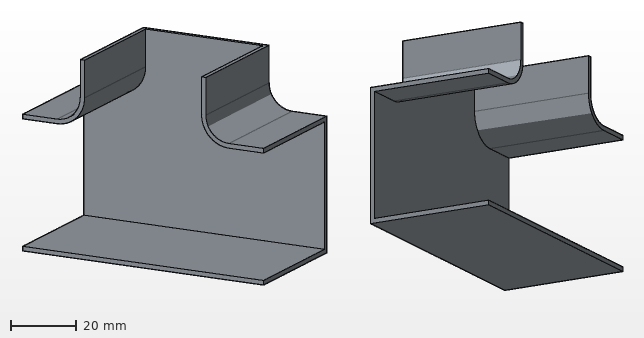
import cadquery as cq

length = 83.6
depth = 41.7
run_height = 43.6
branch_width = 43.6
branch_rise = 20.0
wall = 1.5
elbow_radius = 8.0

height = run_height + branch_rise
half_length = length / 2


def tee_prism(inset, back):
    """Solid tee from y = 0 to y = back, its outer skin moved inward by inset."""
    half_branch = branch_width / 2 - inset
    shoulder = run_height - inset
    radius = elbow_radius + inset
    return (
        cq.Workplane("XZ")
        .moveTo(-half_length, inset)
        .lineTo(half_length, inset)
        .lineTo(half_length, shoulder)
        .lineTo(half_branch + radius, shoulder)
        .radiusArc((half_branch, shoulder + radius), radius)
        .lineTo(half_branch, height)
        .lineTo(-half_branch, height)
        .lineTo(-half_branch, shoulder + radius)
        .radiusArc((-half_branch - radius, shoulder), radius)
        .lineTo(-half_length, shoulder)
        .close()
        .extrude(-back)
    )


outer_tee = tee_prism(0, depth)
channel = tee_prism(wall, depth - wall)

result = outer_tee.cut(channel)